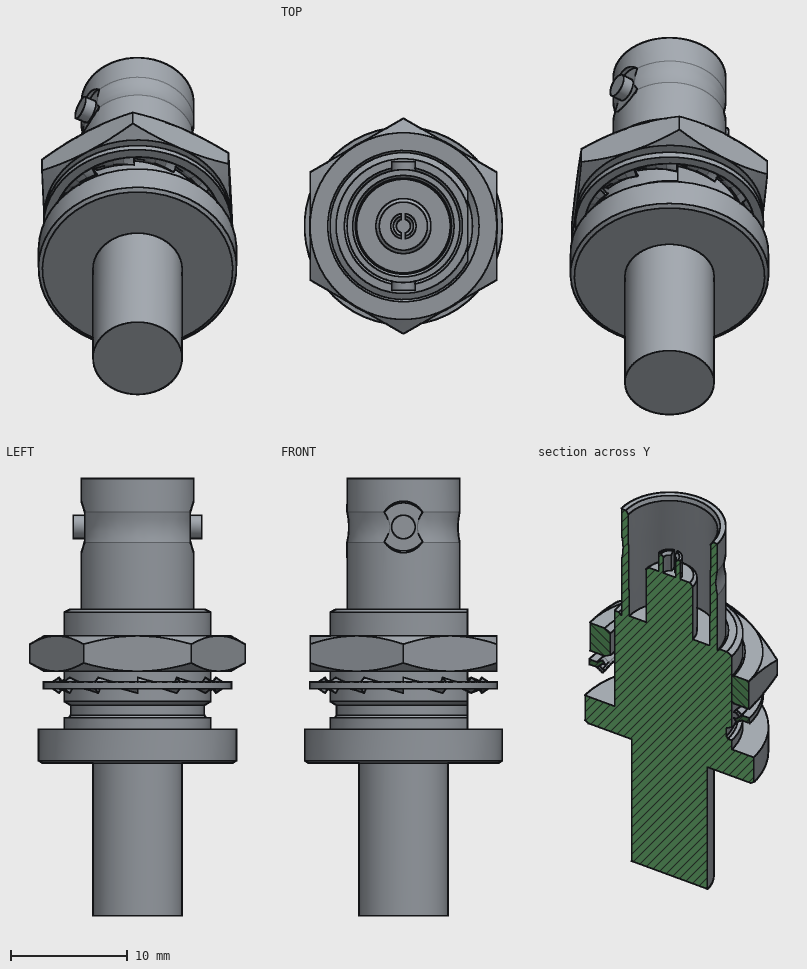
import cadquery as cq
import math

TOTAL_HEIGHT = 37.5
FLANGE_BOTTOM = 13.1
FLANGE_TOP = 16.0
RELIEF_BOTTOM = 17.0
RELIEF_TOP = 18.05
THREAD_BOTTOM = 18.38
COLLAR_TOP = 26.3

STEM_RADIUS = 3.82
FLANGE_RADIUS = 17.0 / 2
FLANGE_CHAMFER_WIDTH = 0.35
FLANGE_CHAMFER_HEIGHT = 0.22
COLLAR_RADIUS = 6.3
COLLAR_CHAMFER_WIDTH = 0.52
COLLAR_CHAMFER_HEIGHT = 0.25
RELIEF_RADIUS = 5.75
RELIEF_FOOT_WIDTH = 0.15
RELIEF_FOOT_HEIGHT = 0.22
FLAT_DISTANCE = 5.5
BARREL_RADIUS = 4.85
UNDERCUT_SIZE = 0.22

PIN_LEVEL = 33.35
PIN_RADIUS = 1.0
PIN_TIP_DISTANCE = 5.5
GROOVE_HALF_HEIGHT = 1.3
GROOVE_DEPTH = 0.15
SPOT_FACE_DISTANCE = 4.55
SPOT_FACE_RADIUS = 2.05
SPOT_RIM_RADIUS = 2.2

SOCKET_FLOOR = COLLAR_TOP
SOCKET_RADIUS = 4.12
SOCKET_FLOOR_RADIUS = 4.0
MOUTH_RADIUS = 4.35
MOUTH_DEPTH = 0.38
INSULATOR_RADIUS = 2.35
INSULATOR_TOP = 32.25
INSULATOR_CHAMFER = 0.3
CONTACT_RADIUS = 1.1
CONTACT_TOP = 34.2
CONTACT_BORE_RADIUS = 0.6
CONTACT_COUNTERSINK = 0.25
CONTACT_SLOT_WIDTH = 0.35

NUT_BOTTOM = 20.95
NUT_TOP = 24.0
NUT_ACROSS_FLATS = 16.0
NUT_SIDES = 6
NUT_CHAMFER_ANGLE = 30.0
NUT_BORE_RADIUS = 5.92
NUT_MOUTH_RADIUS = 6.5
NUT_MOUTH_DEPTH = 0.35

WASHER_LEVEL = 19.75
WASHER_THICKNESS = 0.6
WASHER_RADIUS = 8.05
WASHER_BORE_RADIUS = 6.38
TOOTH_COUNT = 12
TOOTH_STEPS = 4
TOOTH_ROOT_RADIUS = 7.28
TOOTH_ANCHOR = 0.2
TOOTH_CREST_RADIUS = 6.7
TOOTH_TIP_RADIUS = 6.45
TOOTH_CREST_HEIGHT = 0.68
TOOTH_THICKNESS = 0.38


def cylinder(radius, bottom, top):
    """Round bar on the Z axis between two levels."""
    return cq.Workplane("XY").workplane(offset=bottom).circle(radius).extrude(top - bottom)


def make_collar():
    """Threaded collar with its relief groove and one flat on the +X side."""
    collar = (
        cq.Workplane("XZ")
        .moveTo(0, FLANGE_TOP)
        .lineTo(COLLAR_RADIUS, FLANGE_TOP)
        .lineTo(COLLAR_RADIUS, RELIEF_BOTTOM)
        .lineTo(RELIEF_RADIUS + RELIEF_FOOT_WIDTH, RELIEF_BOTTOM)
        .lineTo(RELIEF_RADIUS, RELIEF_BOTTOM + RELIEF_FOOT_HEIGHT)
        .lineTo(RELIEF_RADIUS, RELIEF_TOP)
        .lineTo(COLLAR_RADIUS, THREAD_BOTTOM)
        .lineTo(COLLAR_RADIUS, COLLAR_TOP - COLLAR_CHAMFER_HEIGHT)
        .lineTo(COLLAR_RADIUS - COLLAR_CHAMFER_WIDTH, COLLAR_TOP)
        .lineTo(BARREL_RADIUS + UNDERCUT_SIZE, COLLAR_TOP)
        .lineTo(BARREL_RADIUS, COLLAR_TOP - UNDERCUT_SIZE)
        .lineTo(0, COLLAR_TOP - UNDERCUT_SIZE)
        .close()
        .revolve(360, (0, 0), (0, 1))
    )
    beyond_flat = (
        cq.Workplane("XY")
        .box(COLLAR_RADIUS, 2 * COLLAR_RADIUS, TOTAL_HEIGHT, centered=(False, True, False))
        .translate((FLAT_DISTANCE, 0, 0))
    )
    return collar.cut(beyond_flat)


def make_barrel():
    """Round barrel with a shallow arc-shaped ring groove at the level of the pins."""
    return (
        cq.Workplane("XZ")
        .moveTo(0, FLANGE_TOP)
        .lineTo(BARREL_RADIUS, FLANGE_TOP)
        .lineTo(BARREL_RADIUS, PIN_LEVEL - GROOVE_HALF_HEIGHT)
        .threePointArc(
            (BARREL_RADIUS - GROOVE_DEPTH, PIN_LEVEL),
            (BARREL_RADIUS, PIN_LEVEL + GROOVE_HALF_HEIGHT),
        )
        .lineTo(BARREL_RADIUS, TOTAL_HEIGHT)
        .lineTo(0, TOTAL_HEIGHT)
        .close()
        .revolve(360, (0, 0), (0, 1))
    )


def make_socket():
    """Slightly tapered space inside the barrel, widened by a chamfer at the mouth."""
    return (
        cq.Workplane("XZ")
        .moveTo(0, SOCKET_FLOOR)
        .lineTo(SOCKET_FLOOR_RADIUS, SOCKET_FLOOR)
        .lineTo(SOCKET_RADIUS, TOTAL_HEIGHT - MOUTH_DEPTH)
        .lineTo(MOUTH_RADIUS, TOTAL_HEIGHT)
        .lineTo(0, TOTAL_HEIGHT)
        .close()
        .revolve(360, (0, 0), (0, 1))
    )


def make_contact():
    """Insulator post carrying the slotted centre contact."""
    insulator = cylinder(INSULATOR_RADIUS, SOCKET_FLOOR, INSULATOR_TOP).faces(">Z").chamfer(INSULATOR_CHAMFER)
    contact = cylinder(CONTACT_RADIUS, SOCKET_FLOOR, CONTACT_TOP)
    contact_height = CONTACT_TOP - INSULATOR_TOP
    slot = (
        cq.Workplane("XY")
        .box(CONTACT_SLOT_WIDTH, 2 * CONTACT_RADIUS, contact_height, centered=(True, True, False))
        .translate((0, 0, INSULATOR_TOP))
    )
    bore = cylinder(CONTACT_BORE_RADIUS, INSULATOR_TOP, CONTACT_TOP)
    contact = contact.cut(bore)
    bore_rim = contact.faces(">Z").edges(cq.selectors.RadiusNthSelector(0))
    contact = bore_rim.chamfer(CONTACT_COUNTERSINK).cut(slot)
    return insulator.union(contact)


def make_spot_face(side):
    """Conical cutter that leaves a flat around one pin; side is -1 or 1 along Y."""
    depth = BARREL_RADIUS - SPOT_FACE_DISTANCE
    flare = (SPOT_RIM_RADIUS - SPOT_FACE_RADIUS) / depth
    cone_height = 2 * depth
    return cq.Workplane(
        cq.Solid.makeCone(
            SPOT_FACE_RADIUS,
            SPOT_FACE_RADIUS + flare * cone_height,
            cone_height,
            pnt=cq.Vector(0, side * SPOT_FACE_DISTANCE, PIN_LEVEL),
            dir=cq.Vector(0, side, 0),
        )
    )


def make_pin(side):
    """Bayonet pin rooted in the barrel wall; side is -1 or 1 along Y."""
    return cq.Workplane(
        cq.Solid.makeCylinder(
            PIN_RADIUS,
            PIN_TIP_DISTANCE - MOUTH_RADIUS,
            pnt=cq.Vector(0, side * MOUTH_RADIUS, PIN_LEVEL),
            dir=cq.Vector(0, side, 0),
        )
    )


def make_body():
    """Connector body: stem, flange, collar, barrel, contact and pins."""
    stem = cylinder(STEM_RADIUS, 0, FLANGE_BOTTOM)
    flange = cylinder(FLANGE_RADIUS, FLANGE_BOTTOM, FLANGE_TOP)
    flange = flange.faces("<Z").chamfer(FLANGE_CHAMFER_HEIGHT, FLANGE_CHAMFER_WIDTH)
    body = stem.union(flange).union(make_collar()).union(make_barrel())
    body = body.cut(make_socket()).union(make_contact())
    for side in (-1, 1):
        body = body.cut(make_spot_face(side)).union(make_pin(side))
    return body


def make_nut():
    """Hexagon nut with corners on the Y axis, fitted on the flatted collar."""
    height = NUT_TOP - NUT_BOTTOM
    half_side_angle = 180 / NUT_SIDES
    flat_radius = NUT_ACROSS_FLATS / 2
    corner_radius = flat_radius / math.cos(math.radians(half_side_angle))
    corner_drop = (corner_radius - flat_radius) * math.tan(math.radians(NUT_CHAMFER_ANGLE))
    hexagon = (
        cq.Workplane("XY")
        .workplane(offset=NUT_BOTTOM)
        .polygon(NUT_SIDES, 2 * corner_radius)
        .extrude(height)
        .rotate((0, 0, 0), (0, 0, 1), half_side_angle)
    )
    turned_shape = (
        cq.Workplane("XZ")
        .moveTo(NUT_MOUTH_RADIUS, NUT_BOTTOM)
        .lineTo(flat_radius, NUT_BOTTOM)
        .lineTo(corner_radius, NUT_BOTTOM + corner_drop)
        .lineTo(corner_radius, NUT_TOP - corner_drop)
        .lineTo(flat_radius, NUT_TOP)
        .lineTo(NUT_MOUTH_RADIUS, NUT_TOP)
        .lineTo(NUT_BORE_RADIUS, NUT_TOP - NUT_MOUTH_DEPTH)
        .lineTo(NUT_BORE_RADIUS, NUT_BOTTOM + NUT_MOUTH_DEPTH)
        .close()
        .revolve(360, (0, 0), (0, 1))
    )
    return hexagon.intersect(turned_shape).cut(make_collar())


def tooth_section(angle, crest_level, tip_level):
    """Bent radial section of a tooth, with a point that anchors it inside the ring."""
    half_root = WASHER_THICKNESS / 2
    half_crest = TOOTH_THICKNESS / 2
    points = [
        (TOOTH_ROOT_RADIUS, half_root),
        (TOOTH_CREST_RADIUS, crest_level + half_crest),
        (TOOTH_TIP_RADIUS, tip_level),
        (TOOTH_CREST_RADIUS, crest_level - half_crest),
        (TOOTH_ROOT_RADIUS, -half_root),
        (TOOTH_ROOT_RADIUS + TOOTH_ANCHOR, 0),
    ]
    direction = (math.cos(math.radians(angle)), math.sin(math.radians(angle)))
    return cq.Wire.makePolygon(
        [cq.Vector(r * direction[0], r * direction[1], WASHER_LEVEL + z) for r, z in points], close=True
    )


def make_tooth(start_angle):
    """Twisted tooth, its ends bent to opposite sides of the washer."""
    crest_level = TOOTH_CREST_HEIGHT - TOOTH_THICKNESS / 2
    tip_level = WASHER_THICKNESS / 2
    sections = []
    for step in range(TOOTH_STEPS + 1):
        fraction = step / TOOTH_STEPS
        angle = start_angle + fraction * 360 / TOOTH_COUNT
        twist = 1 - 2 * fraction
        sections.append(tooth_section(angle, twist * crest_level, twist * tip_level))
    return cq.Workplane(cq.Solid.makeLoft(sections, True))


def make_washer():
    """Lock washer: flat ring with twisted teeth on its inner edge."""
    bottom = WASHER_LEVEL - WASHER_THICKNESS / 2
    washer = (
        cq.Workplane("XY")
        .workplane(offset=bottom)
        .circle(WASHER_RADIUS)
        .circle(TOOTH_ROOT_RADIUS)
        .extrude(WASHER_THICKNESS)
    )
    for index in range(TOOTH_COUNT):
        washer = washer.union(make_tooth(index * 360 / TOOTH_COUNT))
    return washer.cut(cylinder(WASHER_BORE_RADIUS, 0, TOTAL_HEIGHT))


body = make_body()
nut = make_nut()
washer = make_washer()
result = cq.Compound.makeCompound([body.solids().val(), nut.solids().val(), washer.solids().val()])